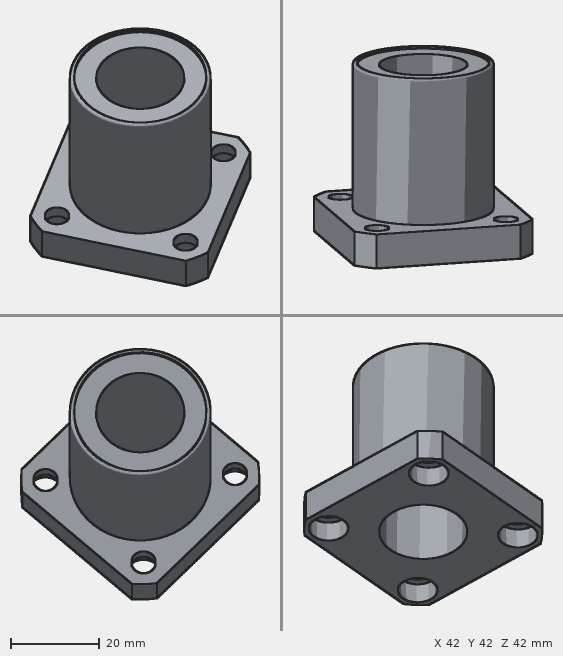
import cadquery as cq

flange_width = 42.0
total_height = 42.0

flange_thickness = 8.0
flange_corner_diameter = 54.0

sleeve_diameter = 32.0
bore_diameter = 20.0
rim_fillet = 0.5
recess_diameter = 30.0
recess_depth = 0.5

bolt_spacing = 30.4
bolt_hole_diameter = 5.5
counterbore_diameter = 9.0
counterbore_depth = 5.15


def make_flange():
    plate = cq.Workplane("XY").rect(flange_width, flange_width).extrude(flange_thickness)
    corner_limit = cq.Workplane("XY").circle(flange_corner_diameter / 2).extrude(flange_thickness)
    return plate.intersect(corner_limit)


def make_sleeve():
    sleeve = cq.Workplane("XY").circle(sleeve_diameter / 2).extrude(total_height)
    return sleeve.faces(">Z").edges().fillet(rim_fillet)


def make_end_recess():
    recess_floor = total_height - recess_depth
    return cq.Workplane("XY").workplane(offset=recess_floor).circle(recess_diameter / 2).extrude(recess_depth)


def make_bore():
    return cq.Workplane("XY").circle(bore_diameter / 2).extrude(total_height)


def make_mounting_holes():
    centers = cq.Workplane("XY").rect(bolt_spacing, bolt_spacing, forConstruction=True).vertices()
    through_holes = centers.circle(bolt_hole_diameter / 2).extrude(flange_thickness)
    counterbores = centers.circle(counterbore_diameter / 2).extrude(counterbore_depth)
    return through_holes.union(counterbores)


body = make_flange().union(make_sleeve())
result = body.cut(make_bore()).cut(make_end_recess()).cut(make_mounting_holes())